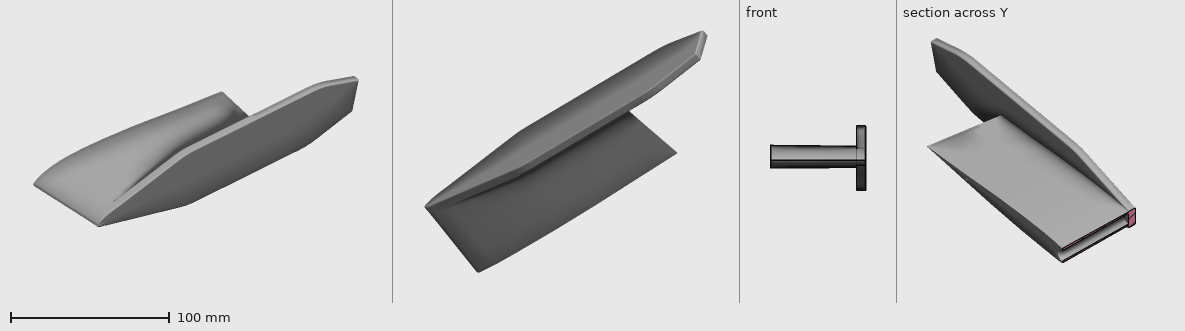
import cadquery as cq
import math

span = 60.0
plate_thickness = 6.0
plate_x = span - plate_thickness
plate_length = 218.25
plate_height = 40.96
plate_top_z = 21.8
plate_bottom_z = plate_top_z - plate_height

root_scale = 0.937
root_setback = 2.2
nose = (0.0, 0.2)
upper_surface = [
    (1.2, 1.9), (4.5, 4.0), (12.0, 6.7), (22.0, 8.6), (37.0, 9.45),
    (60.0, 8.75), (85.0, 7.0), (120.0, 3.2), (155.7, 0.1),
]
lower_surface = [
    (155.7, -0.3), (115.0, -2.9), (80.0, -4.6), (50.0, -5.0),
    (25.0, -4.5), (12.0, -3.75), (5.0, -2.7), (1.2, -1.6),
]

tail_top = (plate_length, 12.8)
tail_bottom = (212.8, -9.3)
top_rear_y = 188.0
top_front_y = 75.85
bottom_rear_y = 176.0
bottom_front_y = 77.0
nose_top = (13.4, 6.0)
nose_bottom = (9.2, -3.2)
rear_corner_radius = 50.0
front_corner_radius = 45.0
edge_fillet = 1.0
nose_length = 20.0
pick_margin = 1.0

spar_hole_diameter = 8.6
spar_hole_center = (22.35, 1.9)
pin_hole_diameter = 2.0
pin_hole_center = (116.4, 0.0)
hole_depth = plate_x
slot_depth = 8.2
slot_height = 0.5


def wing_section(x):
    """Closed aerofoil wire at the given X, tapering evenly from tip to root."""
    taper = x / plate_x
    scale = 1.0 + (root_scale - 1.0) * taper
    setback = root_setback * taper

    def place(point):
        return cq.Vector(x, setback + scale * point[0], scale * point[1])

    def smooth(points, start, finish):
        directions = [start.normalized(), finish.normalized()]
        return cq.Edge.makeSpline([place(p) for p in points], tangents=directions, scale=False)

    up = cq.Vector(0, 0, 1)
    top_end = place(upper_surface[-1])
    bottom_end = place(lower_surface[0])
    upper = smooth([nose] + upper_surface, up, top_end - place(upper_surface[-2]))
    lower = smooth(lower_surface + [nose], place(lower_surface[1]) - bottom_end, up)
    trailing = cq.Edge.makeLine(top_end, bottom_end)
    return cq.Wire.assembleEdges([upper, trailing, lower])


def make_wing():
    tip = wing_section(0.0)
    return cq.Workplane(cq.Solid.makeLoft([tip, wing_section(plate_x)], True))


def make_sharp_plate():
    """Straight-sided end plate with its rounded corners, before its edges are softened."""
    outline = [
        nose_top,
        (top_front_y, plate_top_z),
        (top_rear_y, plate_top_z),
        tail_top,
        tail_bottom,
        (bottom_rear_y, plate_bottom_z),
        (bottom_front_y, plate_bottom_z),
        nose_bottom,
    ]
    plate = cq.Workplane("YZ", origin=(plate_x, 0, 0)).polyline(outline).close().extrude(plate_thickness)
    for front_y, rear_y, radius in [
        (bottom_rear_y, top_rear_y, rear_corner_radius),
        (top_front_y, bottom_front_y, front_corner_radius),
    ]:
        corners = cq.selectors.BoxSelector(
            (plate_x - pick_margin, front_y - pick_margin, plate_bottom_z - pick_margin),
            (span + pick_margin, rear_y + pick_margin, plate_top_z + pick_margin),
        )
        plate = plate.edges("|X").edges(corners).fillet(radius)
    return plate


def plate_zone(rear_y, bottom_z, top_z):
    """Block through the plate thickness, from Y = 0 back to the given Y."""
    size = (plate_thickness, rear_y, top_z - bottom_z)
    return cq.Workplane("XY", origin=(plate_x, 0, bottom_z)).box(*size, centered=False)


def make_plate_nose():
    """Front of the wing section carried straight through the plate, rounded on the outer face."""
    section = cq.Solid.extrudeLinear(wing_section(plate_x), [], cq.Vector(plate_thickness, 0, 0))
    nose_piece = cq.Workplane(section).intersect(plate_zone(nose_length, plate_bottom_z, plate_top_z))
    return nose_piece.faces(">X").edges("not |Z").fillet(edge_fillet)


def make_plate():
    outer_rounded = make_sharp_plate().faces(">X").edges().fillet(edge_fillet)
    both_rounded = outer_rounded.faces("<X").edges().fillet(edge_fillet)
    slope = math.atan2(nose_bottom[1] - plate_bottom_z, bottom_front_y - nose_bottom[0])
    tangent_length = front_corner_radius * math.tan(slope / 2)
    slope_end_y = bottom_front_y - tangent_length * math.cos(slope)
    sharp_slope = outer_rounded.intersect(plate_zone(slope_end_y, plate_bottom_z, 0))
    return both_rounded.union(sharp_slope).union(make_plate_nose())


def tip_hole(center, diameter):
    return cq.Workplane("YZ").center(*center).circle(diameter / 2).extrude(hole_depth)


def nose_slot():
    """Thin slot along the whole leading edge."""
    return cq.Workplane("XY").box(span, slot_depth, slot_height, centered=(False, False, True))


body = make_wing().union(make_plate())
body = body.cut(tip_hole(spar_hole_center, spar_hole_diameter))
body = body.cut(tip_hole(pin_hole_center, pin_hole_diameter))
result = body.cut(nose_slot())